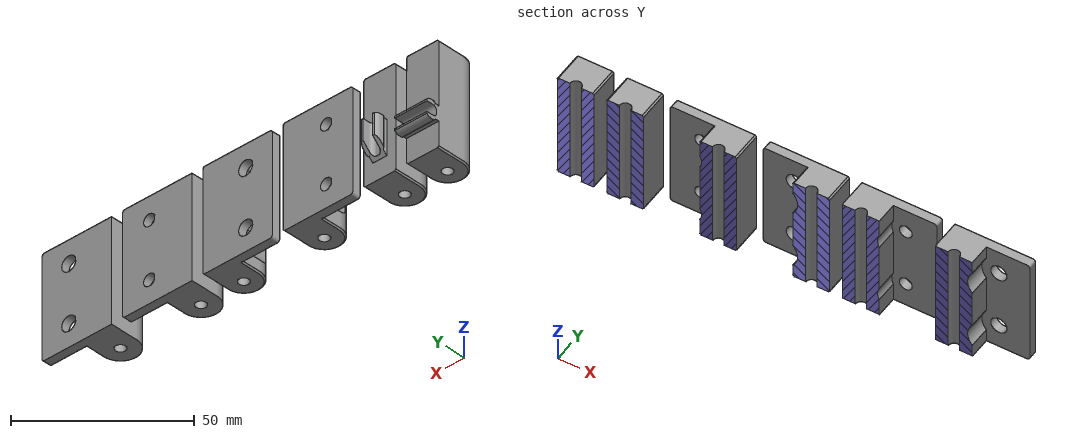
import cadquery as cq
import math

row_length = 148.0
height = 36.0
gap = 4.0

knuckle_width = 12.0
knuckle_radius = knuckle_width / 2
knuckle_depth = 16.0
pin_axis_y = knuckle_radius - knuckle_depth
pin_hole_diameter = 3.5
end_chamfer = 0.47

leaf_body_count = 4
plain_body_count = 2
leaf_body_width = (
    row_length - plain_body_count * knuckle_width - (leaf_body_count + plain_body_count - 1) * gap
) / leaf_body_count
leaf_thickness = 3.0
leaf_corner_radius = 1.0
screw_wall_distance = 4.0
screw_offset = knuckle_radius + screw_wall_distance
screw_spacing = 20.0
small_screw_diameter = 4.1
small_head_diameter = 9.0
large_screw_diameter = 5.2
large_head_diameter = 11.0

clip_height = 4.7
clip_width = 6.4
clip_slot_width = 3.5
clip_floor = 0.9
clip_floor_radius = 1.3
clip_tip_radius = 2.0
clip_neck_width = 5.2
clip_neck_height = 1.3
clip_shoulder_height = 1.8
clip_round_height = 3.1
cross_clip_z = 11.2
upright_clip_top = 18.6
upright_clip_bottom = 6.5


def make_knuckle(axis_x, chamfered):
    """Solid block with a half-round front; only the flat back keeps sharp end edges."""
    left = axis_x - knuckle_radius
    right = axis_x + knuckle_radius
    block = (
        cq.Workplane("XY")
        .moveTo(left, 0)
        .lineTo(left, pin_axis_y)
        .threePointArc((axis_x, -knuckle_depth), (right, pin_axis_y))
        .lineTo(right, 0)
        .close()
        .extrude(height)
    )
    if chamfered:
        block = block.faces("|Z").edges("not >Y").chamfer(end_chamfer)
    return block


def drill_pin_hole(body, axis_x):
    hole = cq.Workplane("XY").center(axis_x, pin_axis_y).circle(pin_hole_diameter / 2).extrude(height)
    return body.cut(hole)


def clip_profile(plane):
    """Clip outline on a plane whose local Y points away from the knuckle back, open at the tips."""
    outer = clip_width / 2
    neck = clip_neck_width / 2
    slot = clip_slot_width / 2
    tip_rise = clip_height - clip_round_height
    tip_centre = outer - clip_tip_radius
    tip = tip_centre + math.sqrt(clip_tip_radius**2 - tip_rise**2)
    arc_middle_angle = math.asin(tip_rise / clip_tip_radius) / 2
    arc_x = tip_centre + clip_tip_radius * math.cos(arc_middle_angle)
    arc_y = clip_round_height + clip_tip_radius * math.sin(arc_middle_angle)
    floor_round = clip_floor + clip_floor_radius
    return (
        cq.Workplane(plane)
        .moveTo(-neck, 0)
        .lineTo(neck, 0)
        .lineTo(neck, clip_neck_height)
        .lineTo(outer, clip_shoulder_height)
        .lineTo(outer, clip_round_height)
        .threePointArc((arc_x, arc_y), (tip, clip_height))
        .lineTo(slot, clip_height)
        .lineTo(slot, floor_round)
        .radiusArc((slot - clip_floor_radius, clip_floor), clip_floor_radius)
        .lineTo(clip_floor_radius - slot, clip_floor)
        .radiusArc((-slot, floor_round), clip_floor_radius)
        .lineTo(-slot, clip_height)
        .lineTo(-tip, clip_height)
        .threePointArc((-arc_x, arc_y), (-outer, clip_round_height))
        .lineTo(-outer, clip_shoulder_height)
        .lineTo(-neck, clip_neck_height)
        .close()
    )


def make_cross_clip(axis_x):
    """Clip channel running along X over the full knuckle width."""
    plane = cq.Plane(origin=(axis_x - knuckle_radius, 0, cross_clip_z), xDir=(0, 0, -1), normal=(1, 0, 0))
    return clip_profile(plane).extrude(knuckle_width)


def make_upright_clip(axis_x):
    """Clip channel running along Z, its underside rising at 45 degrees away from the knuckle."""
    plane = cq.Plane(origin=(axis_x, 0, upright_clip_bottom), xDir=(1, 0, 0), normal=(0, 0, 1))
    clip = clip_profile(plane).extrude(upright_clip_top - upright_clip_bottom)
    underside = (
        cq.Workplane("YZ", origin=(axis_x, 0, upright_clip_bottom))
        .polyline([(0, 0), (clip_height, 0), (clip_height, clip_height)])
        .close()
        .extrude(clip_width, both=True)
    )
    return clip.cut(underside)


def make_cross_clip_knuckle(axis_x):
    body = make_knuckle(axis_x, True).union(make_cross_clip(axis_x))
    return drill_pin_hole(body, axis_x)


def make_upright_clip_knuckle(axis_x):
    body = make_knuckle(axis_x, True).union(make_upright_clip(axis_x))
    return drill_pin_hole(body, axis_x)


def make_leaf(axis_x, side):
    """Plate from the pin axis to the free edge; side is -1 for a leaf towards -X and 1 towards +X."""
    length = leaf_body_width - knuckle_radius
    leaf = (
        cq.Workplane("XY")
        .box(length, leaf_thickness, height, centered=(True, False, False))
        .translate((axis_x + side * length / 2, -leaf_thickness, 0))
    )
    free_corners = leaf.faces(">X" if side > 0 else "<X").edges("|Y")
    return free_corners.fillet(leaf_corner_radius)


def screw_cylinders(axis_x, side, diameter, depth, start_y):
    """Two cylinders on the screw axes, running from start_y towards -Y."""
    return (
        cq.Workplane("XZ", origin=(axis_x + side * screw_offset, start_y, height / 2))
        .pushPoints([(0, -screw_spacing / 2), (0, screw_spacing / 2)])
        .circle(diameter / 2)
        .extrude(depth)
    )


def make_leaf_body(axis_x, side, chamfered, screw_diameter, head_diameter):
    """Knuckle and leaf with screw holes, and room for the screw heads cut into the knuckle side."""
    body = make_knuckle(axis_x, chamfered).union(make_leaf(axis_x, side))
    body = body.cut(screw_cylinders(axis_x, side, screw_diameter, leaf_thickness, 0))
    body = body.cut(screw_cylinders(axis_x, side, head_diameter, knuckle_depth, -leaf_thickness))
    return drill_pin_hole(body, axis_x)


cross_clip_x = knuckle_radius
upright_clip_x = cross_clip_x + knuckle_width + gap
leaf_pitch = leaf_body_width + gap
left_leaf_small_x = upright_clip_x + leaf_pitch
left_leaf_large_x = left_leaf_small_x + leaf_pitch
right_leaf_small_x = left_leaf_large_x + knuckle_width + gap
right_leaf_large_x = right_leaf_small_x + leaf_pitch

cross_clip_knuckle = make_cross_clip_knuckle(cross_clip_x)
upright_clip_knuckle = make_upright_clip_knuckle(upright_clip_x)
left_leaf_small = make_leaf_body(left_leaf_small_x, -1, True, small_screw_diameter, small_head_diameter)
left_leaf_large = make_leaf_body(left_leaf_large_x, -1, True, large_screw_diameter, large_head_diameter)
right_leaf_small = make_leaf_body(right_leaf_small_x, 1, False, small_screw_diameter, small_head_diameter)
right_leaf_large = make_leaf_body(right_leaf_large_x, 1, False, large_screw_diameter, large_head_diameter)

result = cq.Compound.makeCompound([
    cross_clip_knuckle.val(),
    upright_clip_knuckle.val(),
    left_leaf_small.val(),
    left_leaf_large.val(),
    right_leaf_small.val(),
    right_leaf_large.val(),
])